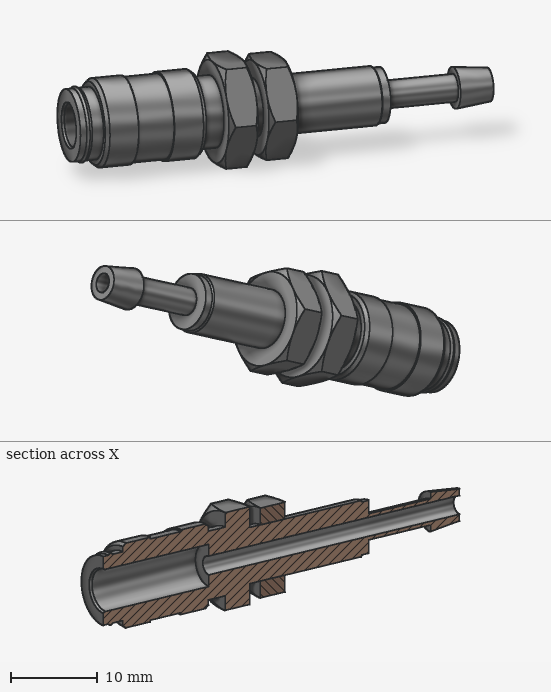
import cadquery as cq
import math

length = 51.0

socket_radius = 4.25
ring_start = 0.75
ring_end = 1.45
ring_height = 0.2

sleeve_start = 2.8
sleeve_end = 15.1
sleeve_radius = 5.2
sleeve_chamfer = 0.45
sleeve_chamfer_drop = 0.35
waist_start = 6.8
waist_end = 11.1
waist_radius = 5.0

hex_width = 3.55
hex_flats = 12.0
hex_start = 17.45
nut_flats = 11.0
nut_start = 22.5
hex_chamfer_angle = 30.0

shank_radius = 3.45
shank_end = 36.9
shank_chamfer = 0.15
end_band_end = 38.05
end_band_radius = 3.25
tube_radius = 1.65
barb_start = 46.8
barb_base_radius = 2.45
barb_tip_radius = 2.0

bore_radius = 2.55
bore_depth = sleeve_end
bore_mouth_chamfer = 0.15
bore_mouth_chamfer_depth = 0.3
passage_radius = 1.1


def revolve_about_y(profile):
    """Turn a closed profile, drawn as (radius, Y), about the Y axis."""
    return profile.close().revolve(360, (0, 0, 0), (0, 1, 0))


def cylinder(radius, start, end):
    return revolve_about_y(
        cq.Workplane("XY").moveTo(0, start).lineTo(radius, start).lineTo(radius, end).lineTo(0, end)
    )


def chamfered_hexagon(flats, start):
    """Hexagonal prism along Y, flats up and down, with both rims turned to a cone."""
    end = start + hex_width
    corner_radius = flats / 2 / math.cos(math.pi / 6)
    face_radius = flats / 2
    chamfer = (corner_radius - face_radius) * math.tan(math.radians(hex_chamfer_angle))
    prism = (
        cq.Workplane("XZ", origin=(0, start, 0))
        .polygon(6, 2 * corner_radius)
        .extrude(-hex_width)
    )
    envelope = revolve_about_y(
        cq.Workplane("XY")
        .moveTo(0, start)
        .lineTo(face_radius, start)
        .lineTo(corner_radius, start + chamfer)
        .lineTo(corner_radius, end - chamfer)
        .lineTo(face_radius, end)
        .lineTo(0, end)
    )
    return prism.intersect(envelope)


def make_turned_shape():
    """Outer turned outline of the coupling, from the socket mouth to the hose tip."""
    sleeve_rim_radius = sleeve_radius - sleeve_chamfer_drop
    ring_crest = (socket_radius + ring_height, (ring_start + ring_end) / 2)
    hex_middle = hex_start + hex_width / 2
    return revolve_about_y(
        cq.Workplane("XY")
        .moveTo(0, 0)
        .lineTo(socket_radius, 0)
        .lineTo(socket_radius, ring_start)
        .lineTo(*ring_crest)
        .lineTo(socket_radius, ring_end)
        .lineTo(socket_radius, sleeve_start)
        .lineTo(sleeve_rim_radius, sleeve_start)
        .lineTo(sleeve_radius, sleeve_start + sleeve_chamfer)
        .lineTo(sleeve_radius, waist_start)
        .lineTo(waist_radius, waist_start)
        .lineTo(waist_radius, waist_end)
        .lineTo(sleeve_radius, waist_end)
        .lineTo(sleeve_radius, sleeve_end - sleeve_chamfer)
        .lineTo(sleeve_rim_radius, sleeve_end)
        .lineTo(socket_radius, sleeve_end)
        .lineTo(socket_radius, hex_middle)
        .lineTo(shank_radius, hex_middle)
        .lineTo(shank_radius, shank_end)
        .lineTo(end_band_radius, shank_end + shank_chamfer)
        .lineTo(end_band_radius, end_band_end)
        .lineTo(tube_radius, end_band_end)
        .lineTo(tube_radius, barb_start)
        .lineTo(barb_base_radius, barb_start)
        .lineTo(barb_tip_radius, length)
        .lineTo(0, length)
    )


def make_bore():
    """Plug bore with a chamfered mouth, continued by the narrow flow passage."""
    return revolve_about_y(
        cq.Workplane("XY")
        .moveTo(0, 0)
        .lineTo(bore_radius + bore_mouth_chamfer, 0)
        .lineTo(bore_radius, bore_mouth_chamfer_depth)
        .lineTo(bore_radius, bore_depth)
        .lineTo(passage_radius, bore_depth)
        .lineTo(passage_radius, length)
        .lineTo(0, length)
    )


def make_coupling():
    body = make_turned_shape().union(chamfered_hexagon(hex_flats, hex_start))
    return body.cut(make_bore())


def make_lock_nut():
    thread_hole = cylinder(shank_radius, nut_start, nut_start + hex_width)
    return chamfered_hexagon(nut_flats, nut_start).cut(thread_hole)


coupling = make_coupling()
lock_nut = make_lock_nut()

result = cq.Compound.makeCompound([coupling.val(), lock_nut.val()])